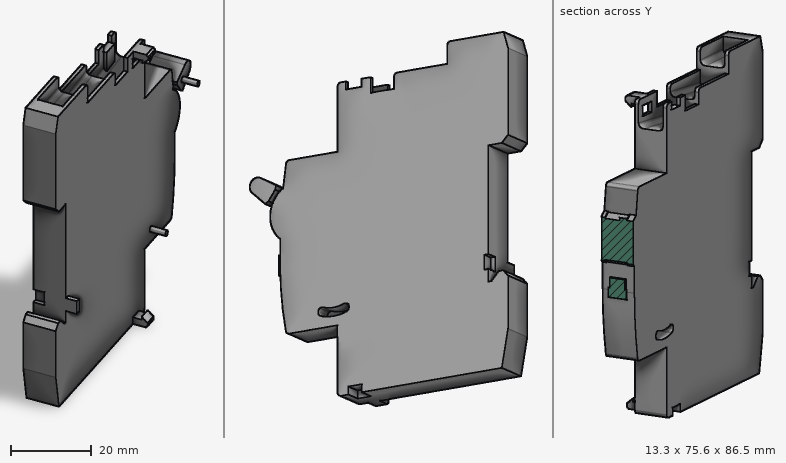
import cadquery as cq
import math


width = 9.0
height = 86.5
corner_radius = 1.0

rail_face_y = 5.7
rail_top_z = 57.95
rail_bottom_z = 22.8
rail_lip_y = 1.8
lip_top_z = 25.1
lip_crest_y = (1.4, 2.7)
lip_foot_y = 4.9
lip_back_z = 23.5
back_slope_z = (9.9, 82.2)
back_slope_y = (1.8, 1.3)

step_y = 17.8
notch_y = (33.4, 40.2)
shoulder_y = 49.9
shoulder_z = 80.8
notch_z = 76.7

panel_bottom_z = 18.3
panel_top_z = 63.1
panel_edge_y = 64.9
panel_y = 66.7
panel_bend_z = 36.3
hub_start_z = 43.25
hub_top = (66.0, 54.8)
panel_arc_radius = 90.0

hub_y = 61.7
hub_z = 49.3
hub_radius = 8.0
toggle_angle = 36.0
slot_x = (1.8, 7.9)
slot_depth = 0.2
neck_x = (1.8, 3.9)
neck_half = 1.65
knob_back = 9.2
knob_shoulder = 9.6
knob_tip_centre = 14.5
knob_tip_radius = 2.2
knob_taper = 6.0

trough_wall = 1.0
trough_end_y = 6.0
trough_fillet = 1.4
trough_slope_angle = 5.0
trough_clearance = 0.9
trough_floor_z = (82.0, 77.7, 73.6)

hook_thickness = 2.0
hook_reach = 4.1
hook_chamfer = 0.5
barb_start = 2.4
barb_height = 0.9
hook_y = (43.5, 47.4)
lower_hook_y = (43.2, 46.5)
catch_y = (42.9, 47.4)
lower_catch_y = (42.8, 46.7)
catch_height = 2.1
catch_shelf_x = 1.9
catch_clearance = 0.3
window_y = (43.1, 47.7)
window_height = 2.8

pin_radius = 0.8
pin_length = 4.3
toggle_pin = (71.1, 56.05)
trip_pin = (53.3, 22.2)

trip_slot_y = 51.0
trip_slot_mid_z = 22.0
trip_slot_radius = 10.2
trip_slot_half_width = 1.1
trip_slot_half_angle = 19.5

tab_y_depth = 1.2
tab_z = (26.1, 29.9)
tab_length = 3.0

flag_x = (1.9, 7.1)
flag_front_y = 68.3
flag_back_y = (67.0, 67.55)
flag_z = (34.4, 39.6)
flag_stem_z = 35.7
flag_stem_inset = 0.4


def box(x_range, y_range, z_range):
    """Axis-aligned block between the given limits."""
    return (
        cq.Workplane("XY")
        .box(x_range[1] - x_range[0], y_range[1] - y_range[0], z_range[1] - z_range[0], centered=False)
        .translate((x_range[0], y_range[0], z_range[0]))
    )


def side_plane(x=0.0):
    """Workplane with local axes Y and Z, extruding toward +X."""
    return cq.Workplane("YZ", origin=(x, 0, 0))


def cylinder_x(centre, radius, x_range):
    """Round bar along X."""
    return side_plane(x_range[0]).center(*centre).circle(radius).extrude(x_range[1] - x_range[0])


def make_housing():
    profile = (
        side_plane()
        .moveTo(back_slope_y[0], 0)
        .lineTo(0, back_slope_z[0])
        .lineTo(0, lip_back_z)
        .lineTo(lip_crest_y[0], lip_top_z)
        .lineTo(lip_crest_y[1], lip_top_z)
        .lineTo(lip_foot_y, rail_bottom_z)
        .lineTo(rail_face_y, rail_bottom_z)
        .lineTo(rail_face_y, rail_top_z)
        .lineTo(rail_lip_y, rail_top_z)
        .lineTo(0, rail_top_z + rail_lip_y)
        .lineTo(0, back_slope_z[1])
        .lineTo(back_slope_y[1], height)
        .lineTo(step_y, height)
        .lineTo(step_y, shoulder_z)
        .lineTo(notch_y[0], shoulder_z)
        .lineTo(notch_y[0], notch_z)
        .lineTo(notch_y[1], notch_z)
        .lineTo(notch_y[1], shoulder_z)
        .lineTo(shoulder_y, shoulder_z)
        .lineTo(shoulder_y, panel_top_z)
        .lineTo(panel_edge_y, panel_top_z)
        .lineTo(*hub_top)
        .lineTo(panel_y, hub_start_z)
        .lineTo(panel_y, panel_bend_z)
        .radiusArc((panel_edge_y, panel_bottom_z), panel_arc_radius)
        .lineTo(shoulder_y, panel_bottom_z)
        .lineTo(shoulder_y, 0)
        .close()
    )
    housing = profile.extrude(width)
    rounded_corners = (
        (step_y, height),
        (notch_y[0], shoulder_z),
        (shoulder_y, shoulder_z),
        (panel_edge_y, panel_top_z),
        (panel_edge_y, panel_bottom_z),
        (shoulder_y, 0),
    )
    for y, z in rounded_corners:
        edge = cq.selectors.NearestToPointSelector((width / 2, y, z))
        housing = housing.edges("|X").edges(edge).fillet(corner_radius)
    return housing


def trough_bay(y_range, floor_z, slope):
    """Cutter for one bay: its floor is highest at the front and has rounded sides."""
    left = trough_wall
    right = width - trough_wall
    length = y_range[1] - y_range[0]
    bevel = trough_fillet * (1 - math.sqrt(0.5))
    top_z = height + trough_clearance
    section = (
        cq.Workplane("XZ", origin=(0, y_range[1], 0))
        .moveTo(left, top_z)
        .lineTo(left, floor_z + trough_fillet)
        .threePointArc((left + bevel, floor_z + bevel), (left + trough_fillet, floor_z))
        .lineTo(right - trough_fillet, floor_z)
        .threePointArc((right - bevel, floor_z + bevel), (right, floor_z + trough_fillet))
        .lineTo(right, top_z)
        .close()
    )
    path = cq.Workplane("YZ").moveTo(y_range[1], floor_z).lineTo(y_range[0], floor_z - slope * length)
    return section.sweep(path)


def cut_trough(body):
    slope = math.tan(math.radians(trough_slope_angle))
    rear, middle, front = trough_floor_z
    bays = (
        ((trough_end_y, step_y), rear, 0.0),
        ((step_y, notch_y[0]), middle, slope),
        ((notch_y[0], shoulder_y), front, slope),
    )
    for y_range, floor_z, bay_slope in bays:
        body = body.cut(trough_bay(y_range, floor_z, bay_slope))
    return body


def add_catches(body):
    """Notches at -X that take the hooks of the neighbouring module."""
    shelf_z = shoulder_z - catch_height
    body = body.union(box((0, catch_shelf_x), catch_y, (panel_top_z, shelf_z)))
    body = body.cut(box((0, catch_shelf_x), catch_y, (shelf_z, shoulder_z)))
    lower_depth = hook_reach + catch_clearance
    return body.cut(box((0, lower_depth), lower_catch_y, (0, catch_height)))


def hook(y_range, outer_z, inward):
    """Snap hook on the +X face; inward is the Z direction its barb points in."""
    inner = hook_thickness
    outline = [
        (-trough_wall, 0),
        (hook_reach - hook_chamfer, 0),
        (hook_reach, hook_chamfer),
        (hook_reach, inner - hook_chamfer),
        (barb_start, inner + barb_height),
        (barb_start, inner),
        (-trough_wall, inner),
    ]
    points = [(width + x, outer_z + inward * z) for x, z in outline]
    return (
        cq.Workplane("XZ", origin=(0, y_range[1], 0))
        .polyline(points)
        .close()
        .extrude(y_range[1] - y_range[0])
    )


def add_hooks(body):
    body = body.union(hook(hook_y, shoulder_z, -1)).union(hook(lower_hook_y, 0, 1))
    window_top = shoulder_z - hook_thickness
    return body.cut(box((width - trough_wall, width), window_y, (window_top - window_height, window_top)))


def lever_plane(x):
    """Workplane at the hub centre: local X along the lever, local Y across it."""
    return side_plane(x).center(hub_y, hub_z).transformed(rotate=(0, 0, toggle_angle))


def make_toggle():
    hub_centre = (hub_y, hub_z)
    hub = cylinder_x(hub_centre, hub_radius - slot_depth, (0, width))
    for cheek in ((0, slot_x[0]), (slot_x[1], width)):
        hub = hub.union(cylinder_x(hub_centre, hub_radius, cheek))

    taper = math.radians(knob_taper)
    tangent_u = knob_tip_centre + knob_tip_radius * math.sin(taper)
    tangent_v = knob_tip_radius * math.cos(taper)
    shoulder_v = tangent_v + (tangent_u - knob_shoulder) * math.tan(taper)
    knob = (
        lever_plane(0)
        .moveTo(knob_back, neck_half)
        .lineTo(knob_shoulder, shoulder_v)
        .lineTo(tangent_u, tangent_v)
        .threePointArc((knob_tip_centre + knob_tip_radius, 0), (tangent_u, -tangent_v))
        .lineTo(knob_shoulder, -shoulder_v)
        .lineTo(knob_back, -neck_half)
        .close()
        .extrude(width)
    )
    neck = (
        lever_plane(neck_x[0])
        .moveTo(0, -neck_half)
        .lineTo(knob_shoulder, -neck_half)
        .lineTo(knob_shoulder, neck_half)
        .lineTo(0, neck_half)
        .close()
        .extrude(neck_x[1] - neck_x[0])
    )
    return hub.union(neck).union(knob)


def make_pins():
    """Drive pins that reach into the next module from the knob and the trip slot."""
    pins = cq.Workplane("XY")
    for centre in (toggle_pin, trip_pin):
        pins = pins.union(cylinder_x(centre, pin_radius, (width / 2, width + pin_length)))
    return pins


def trip_slot():
    """Curved blind slot in the -X face that takes a neighbour's trip pin."""
    centre_z = trip_slot_mid_z + trip_slot_radius
    outer = trip_slot_radius + trip_slot_half_width
    inner = trip_slot_radius - trip_slot_half_width

    def at(radius, degrees):
        angle = math.radians(degrees)
        return (trip_slot_y + radius * math.sin(angle), centre_z - radius * math.cos(angle))

    end = trip_slot_half_angle
    return (
        side_plane()
        .moveTo(*at(outer, -end))
        .threePointArc(at(outer, 0), at(outer, end))
        .radiusArc(at(inner, end), -trip_slot_half_width)
        .threePointArc(at(inner, 0), at(inner, -end))
        .radiusArc(at(outer, -end), -trip_slot_half_width)
        .close()
        .extrude(pin_length)
    )


def add_rail_tab(body):
    """Locating tab at +X and the matching pocket at -X, both flush with the rail seat."""
    tab_y = (rail_face_y, rail_face_y + tab_y_depth)
    body = body.union(box((width, width + tab_length), tab_y, tab_z))
    return body.cut(box((0, tab_length), tab_y, tab_z))


def make_flag():
    """Indicator plate with a tapered back, standing off the panel on a narrower stem."""
    head = (
        side_plane(flag_x[0])
        .moveTo(flag_front_y, flag_z[0])
        .lineTo(flag_front_y, flag_z[1])
        .lineTo(flag_back_y[1], flag_z[1])
        .lineTo(flag_back_y[0], flag_z[0])
        .close()
        .extrude(flag_x[1] - flag_x[0])
    )
    stem_x = (flag_x[0] + flag_stem_inset, flag_x[1] - flag_stem_inset)
    stem = box(stem_x, (panel_edge_y, flag_back_y[1]), (flag_stem_z, flag_z[1]))
    return head.union(stem)


body = cut_trough(make_housing())
body = add_catches(body)
body = add_hooks(body)
body = add_rail_tab(body)
body = body.union(make_toggle()).union(make_pins()).union(make_flag())
result = body.cut(trip_slot())